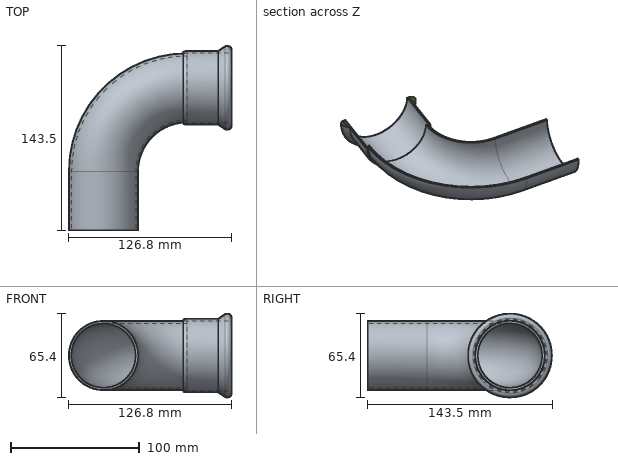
import cadquery as cq
import math


pipe_outer_radius = 54.0 / 2
pipe_bore_radius = 50.0 / 2
bend_radius = 1.2 * 2 * pipe_outer_radius
spigot_length = 46.0

socket_outer_radius = 57.5 / 2
socket_bore_radius = 54.4 / 2
socket_depth = 35.0
shoulder_length = 2.6
shoulder_face_radius = 28.1

bead_outer_radius = 65.4 / 2
bead_arc_radius = 3.5
flare_angle = math.radians(33.7)


def pipe_run(radius):
    """Solid rod of the given radius along the spigot and the quarter-circle bend."""
    spigot_end_y = -bend_radius - spigot_length
    path = (
        cq.Workplane("XY")
        .moveTo(-bend_radius, spigot_end_y)
        .lineTo(-bend_radius, -bend_radius)
        .radiusArc((0, 0), bend_radius)
    )
    start = cq.Workplane("XZ", origin=(-bend_radius, spigot_end_y, 0))
    return start.circle(radius).sweep(path)


def make_pipe():
    return pipe_run(pipe_outer_radius).cut(pipe_run(pipe_bore_radius))


def socket_envelope():
    """Solid outer shape of the socket: rounded shoulder, straight barrel, flare and bead."""
    shoulder_drop = socket_outer_radius - shoulder_face_radius
    shoulder_arc_radius = (shoulder_length**2 + shoulder_drop**2) / (2 * shoulder_drop)

    bead_centre_x = socket_depth - bead_arc_radius
    bead_centre_radius = bead_outer_radius - bead_arc_radius
    flare_end_x = bead_centre_x - bead_arc_radius * math.sin(flare_angle)
    flare_end_radius = bead_centre_radius + bead_arc_radius * math.cos(flare_angle)
    flare_length = (flare_end_radius - socket_outer_radius) / math.tan(flare_angle)

    profile = (
        cq.Workplane("XY")
        .moveTo(-shoulder_length, 0)
        .lineTo(-shoulder_length, shoulder_face_radius)
        .radiusArc((0, socket_outer_radius), shoulder_arc_radius)
        .lineTo(flare_end_x - flare_length, socket_outer_radius)
        .lineTo(flare_end_x, flare_end_radius)
        .threePointArc((bead_centre_x, bead_outer_radius), (socket_depth, bead_centre_radius))
        .lineTo(socket_depth, 0)
        .close()
    )
    return profile.revolve(360, (0, 0, 0), (1, 0, 0))


def make_socket():
    """Socket bored from the mouth to the pipe end; its shoulder fits around the bend."""
    bore = cq.Workplane("YZ").circle(socket_bore_radius).extrude(socket_depth)
    return socket_envelope().cut(bore).cut(pipe_run(pipe_outer_radius))


pipe = make_pipe()
socket = make_socket()

result = cq.Compound.makeCompound([pipe.solids().val(), socket.solids().val()])